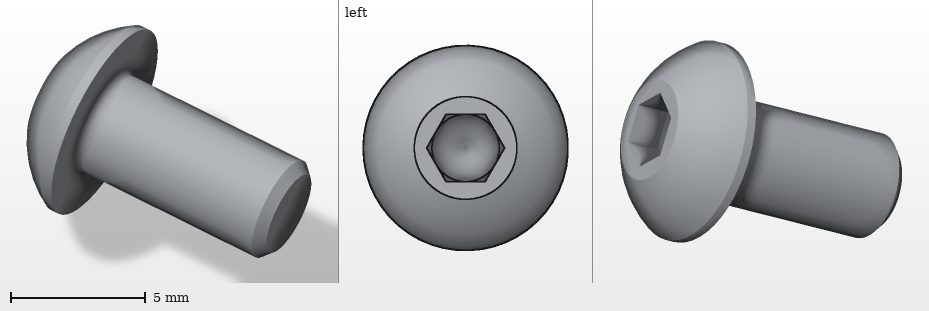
import cadquery as cq
import math

total_length = 10.2
head_diameter = 7.6
head_height = 2.2
rim_thickness = 0.37
face_diameter = 3.8
shank_diameter = 4.0
neck_fillet = 0.2
tip_chamfer = 0.4
socket_width = 2.5
socket_depth = 1.3
socket_point_angle = 120.0

face_x = -total_length / 2
tip_x = total_length / 2
seat_x = face_x + head_height
rim_x = seat_x - rim_thickness

head_radius = head_diameter / 2
face_radius = face_diameter / 2
shank_radius = shank_diameter / 2


def dome_midpoint():
    """Middle of the dome arc, whose sphere centre lies on the screw axis."""
    center_x = (rim_x**2 + head_radius**2 - face_x**2 - face_radius**2) / (2 * (rim_x - face_x))
    dome_radius = math.hypot(face_x - center_x, face_radius)
    face_angle = math.atan2(face_radius, face_x - center_x)
    rim_angle = math.atan2(head_radius, rim_x - center_x)
    middle_angle = (face_angle + rim_angle) / 2
    return (
        center_x + dome_radius * math.cos(middle_angle),
        dome_radius * math.sin(middle_angle),
    )


def make_body():
    """Revolve the half outline of head, neck fillet, shank and chamfered tip."""
    fillet_middle = neck_fillet * (1 - math.sqrt(0.5))
    outline = (
        cq.Workplane("XY")
        .moveTo(face_x, 0)
        .lineTo(face_x, face_radius)
        .threePointArc(dome_midpoint(), (rim_x, head_radius))
        .lineTo(seat_x, head_radius)
        .lineTo(seat_x, shank_radius + neck_fillet)
        .threePointArc(
            (seat_x + fillet_middle, shank_radius + fillet_middle),
            (seat_x + neck_fillet, shank_radius),
        )
        .lineTo(tip_x - tip_chamfer, shank_radius)
        .lineTo(tip_x, shank_radius - tip_chamfer)
        .lineTo(tip_x, 0)
        .close()
    )
    return outline.revolve(360, (0, 0, 0), (1, 0, 0))


def make_socket():
    """Hexagonal socket with flats facing +Z and -Z, ending in a drill point."""
    hex_corner_diameter = socket_width / math.cos(math.pi / 6)
    hexagon = (
        cq.Workplane("YZ", origin=(face_x, 0, 0))
        .polygon(6, hex_corner_diameter)
        .extrude(socket_depth)
    )
    point_radius = socket_width / 2
    point_depth = point_radius / math.tan(math.radians(socket_point_angle / 2))
    floor_x = face_x + socket_depth
    drill_point = (
        cq.Workplane("XY")
        .moveTo(floor_x, 0)
        .lineTo(floor_x, point_radius)
        .lineTo(floor_x + point_depth, 0)
        .close()
        .revolve(360, (0, 0, 0), (1, 0, 0))
    )
    return hexagon.union(drill_point)


result = make_body().cut(make_socket())